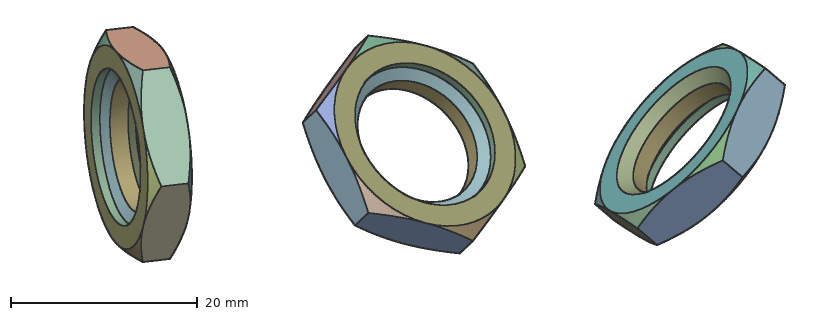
import cadquery as cq
import math

across_corners = 25.4
thickness = 5.0
bore_diameter = 14.5
mouth_diameter = 17.0
recess_depth = 1.0
recess_cone_angle = 30.0
back_countersink_angle = 45.0
corner_chamfer_angle = 30.0

corner_radius = across_corners / 2
flat_radius = corner_radius * math.cos(math.pi / 6)
bore_radius = bore_diameter / 2
mouth_radius = mouth_diameter / 2
front = -thickness / 2
back = thickness / 2


def cone_depth(large_radius, small_radius, angle):
    """Axial length of a cone whose side makes the given angle with the end faces."""
    return (large_radius - small_radius) * math.tan(math.radians(angle))


def hexagonal_blank():
    """Hexagonal prism with two corners on the X axis."""
    return cq.Workplane("XZ").polygon(6, across_corners).extrude(thickness / 2, both=True)


def revolved_envelope():
    """Ring that trims the hexagon corners and forms the stepped bore."""
    chamfer_depth = cone_depth(corner_radius, flat_radius, corner_chamfer_angle)
    recess_end = front + recess_depth
    bore_start = recess_end + cone_depth(mouth_radius, bore_radius, recess_cone_angle)
    bore_end = back - cone_depth(mouth_radius, bore_radius, back_countersink_angle)
    profile = [
        (bore_radius, bore_start),
        (mouth_radius, recess_end),
        (mouth_radius, front),
        (flat_radius, front),
        (corner_radius, front + chamfer_depth),
        (corner_radius, back - chamfer_depth),
        (flat_radius, back),
        (mouth_radius, back),
        (bore_radius, bore_end),
    ]
    return cq.Workplane("XY").polyline(profile).close().revolve(360, (0, 0, 0), (0, 1, 0))


result = hexagonal_blank().intersect(revolved_envelope())